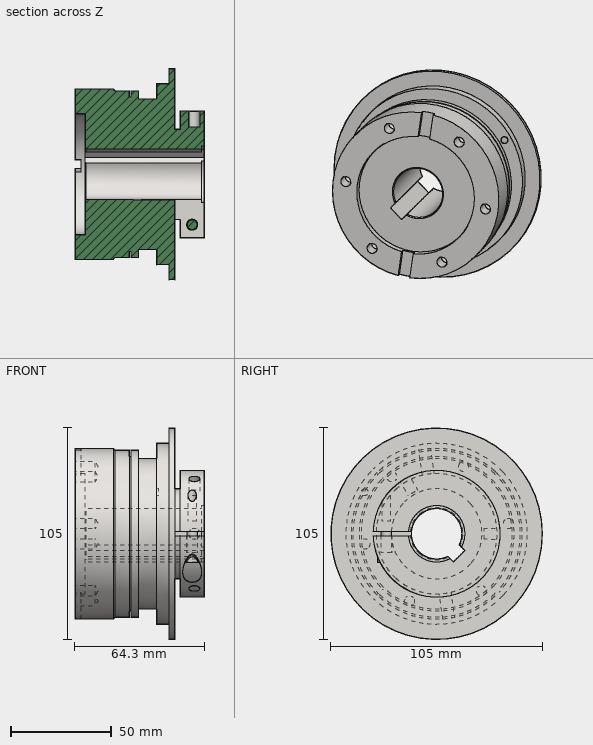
import cadquery as cq
import math


flange_diameter = 105.0
ring_diameter = 90.0
drum_diameter = 84.8
land_diameter = 83.0
groove_diameter = 76.9
waist_diameter = 75.0
collar_diameter = 63.0
neck_diameter = 44.9

drum_end = 19.0
land_start = 20.0
groove_start = 27.0
groove_end = 27.7
land_end = 31.6
waist_end = 40.5
ring_end = 46.6
flange_end = 49.6
collar_start = 52.2
total_length = 64.3

bore_diameter = 25.0
bore_chamfer = 0.5
keyway_width = 8.0
keyway_reach = 15.8
keyway_angle = 225
end_recess_diameter = 28.0
end_recess_depth = 1.4

drive_twist = -8.1
pocket_diameter = 60.0
pocket_depth = 5.0
slot_width = 6.0
slot_depth = 2.9
face_hole_count = 6
face_hole_diameter = 5.0
face_hole_circle = 71.9
face_hole_depth = 10.0
drill_tip_angle = 118

ring_hole_diameter = 3.5
ring_hole_circle = 82.5
ring_hole_depth = 0.8
ring_hole_angle = 30

slit_width = 2.2
screw_x = 58.2
screw_offset = 25.0
counterbore_diameter = 9.5
clearance_diameter = 5.5
tapped_diameter = 4.2
screw_diameter = 5.0
screw_head_diameter = 8.5
screw_head_height = 5.0
screw_seat_z = -9.2
screw_tip_z = 6.3
set_hole_diameter = 5.5
set_hole_x = 59.2
set_hole_floor = 23.5
open_set_hole_angles = (60, 180)
plugged_set_hole_angle = 300
plug_sink = 0.1


def turn(shape, angle):
    """Turn a shape about X from the -Y direction to the given angle."""
    return shape.rotate((0, 0, 0), (1, 0, 0), -angle)


def x_cylinder(diameter, start, end, radius=0):
    """Cylinder along X, its axis at the given distance from the part axis towards -Y."""
    return cq.Workplane("YZ", origin=(start, -radius, 0)).circle(diameter / 2).extrude(end - start)


def screw_cylinder(diameter, low, high):
    """Cylinder on the axis of the clamp screw between two heights."""
    base = cq.Workplane("XY", origin=(screw_x, -screw_offset, low))
    return base.circle(diameter / 2).extrude(high - low)


def radial_box(start, end, inner, outer, width):
    """Box centred on Z = 0 that reaches from the inner to the outer distance towards -Y."""
    size = (end - start, outer - inner, width)
    return cq.Workplane("XY").box(*size).translate(((start + end) / 2, -(inner + outer) / 2, 0))


def turned_body():
    steps = [
        (drum_diameter, 0, drum_end),
        (land_diameter, land_start, groove_start),
        (groove_diameter, groove_start, groove_end),
        (land_diameter, groove_end, land_end),
        (waist_diameter, land_end, waist_end),
        (ring_diameter, waist_end, ring_end),
        (flange_diameter, ring_end, flange_end),
        (neck_diameter, flange_end, collar_start),
        (collar_diameter, collar_start, total_length),
    ]
    outline = [(0, 0)]
    for diameter, start, end in steps:
        outline += [(start, diameter / 2), (end, diameter / 2)]
    outline.append((total_length, 0))
    return cq.Workplane("XY").polyline(outline).close().revolve(360, (0, 0, 0), (1, 0, 0))


def bore_cut():
    bore = x_cylinder(bore_diameter, 0, total_length)
    entry = (
        cq.Workplane("YZ", origin=(pocket_depth, 0, 0)).circle(bore_diameter / 2 + bore_chamfer)
        .workplane(offset=bore_chamfer).circle(bore_diameter / 2).loft()
    )
    keyway = turn(radial_box(0, total_length, 0, keyway_reach, keyway_width), keyway_angle)
    recess = x_cylinder(end_recess_diameter, total_length - end_recess_depth, total_length)
    return bore.union(entry).union(keyway).union(recess)


def face_hole():
    """Blind hole with a drilled point, on the -Y side of the hole circle."""
    hole_radius = face_hole_diameter / 2
    tip_length = hole_radius / math.tan(math.radians(drill_tip_angle / 2))
    outline = [(0, 0), (0, hole_radius), (face_hole_depth, hole_radius), (face_hole_depth + tip_length, 0)]
    hole = cq.Workplane("XY").polyline(outline).close().revolve(360, (0, 0, 0), (1, 0, 0))
    return hole.translate((0, -face_hole_circle / 2, 0))


def drive_face_cut():
    cut = x_cylinder(pocket_diameter, 0, pocket_depth)
    slot = radial_box(0, slot_depth, -drum_diameter / 2, drum_diameter / 2, slot_width)
    cut = cut.union(turn(slot, drive_twist + 90))
    for i in range(face_hole_count):
        cut = cut.union(turn(face_hole(), drive_twist + i * 360 / face_hole_count))
    return cut


def ring_hole_cut():
    hole = x_cylinder(ring_hole_diameter, waist_end, waist_end + ring_hole_depth, ring_hole_circle / 2)
    return turn(hole, ring_hole_angle)


def set_hole(angle):
    """Blind radial hole in the collar."""
    hole = cq.Workplane("XZ", origin=(set_hole_x, -set_hole_floor, 0)).circle(set_hole_diameter / 2)
    return turn(hole.extrude(collar_diameter / 2 - set_hole_floor), angle)


def above_plug(hole):
    """Part of a collar hole left open above the plug that fills it."""
    core = x_cylinder(collar_diameter - 2 * plug_sink, collar_start, total_length)
    return hole.cut(core)


def set_hole_cut():
    cut = above_plug(set_hole(plugged_set_hole_angle))
    for angle in open_set_hole_angles:
        cut = cut.add(set_hole(angle))
    return cut.combine()


def clamp_cut():
    """Slit through one side of the neck and collar, with the holes for the clamp screw."""
    reach = collar_diameter / 2
    slit = radial_box(flange_end, total_length, 0, reach, slit_width)
    counterbore = screw_cylinder(counterbore_diameter, -reach, screw_seat_z)
    clearance = screw_cylinder(clearance_diameter, screw_seat_z, 0)
    tapped = screw_cylinder(tapped_diameter, 0, reach)
    return slit.union(clearance).union(tapped).union(above_plug(counterbore))


def clamp_screw():
    """Screw that bridges the slit, its head standing partly proud of the plugged counterbore."""
    head = screw_cylinder(screw_head_diameter, screw_seat_z - screw_head_height, screw_seat_z)
    shank = screw_cylinder(screw_diameter, screw_seat_z, screw_tip_z)
    return head.union(shank)


result = (
    turned_body()
    .cut(bore_cut())
    .cut(drive_face_cut())
    .cut(ring_hole_cut())
    .cut(set_hole_cut())
    .cut(clamp_cut())
    .union(clamp_screw())
)